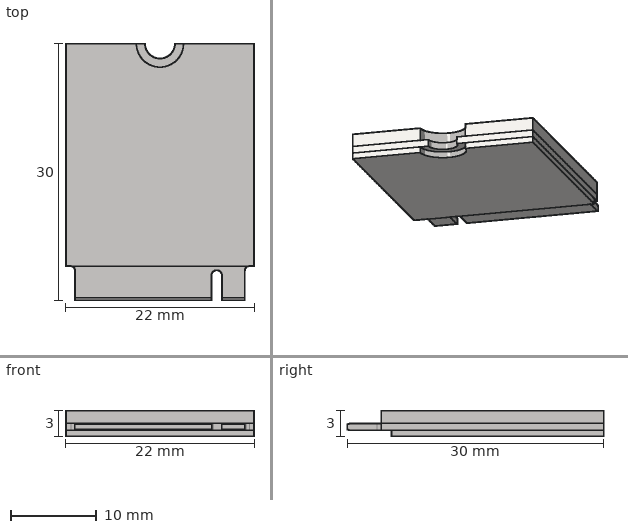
import cadquery as cq

card_width = 22.0
card_length = 30.0

bottom_cover_thickness = 0.7
board_thickness = 0.8
top_cover_thickness = 1.5

tongue_length = 4.0
tongue_width = 19.85
shoulder_fillet = 0.5
edge_bevel_length = 0.3
edge_bevel_height = 0.108

key_slot_width = 1.2
key_slot_depth = 3.5
key_slot_x = 6.63

screw_notch_radius = 1.75
cover_notch_radius = 2.75

bottom_cover_setback = 5.2

front_y = -card_length / 2
back_y = card_length / 2
shoulder_y = front_y + tongue_length
board_bottom_z = bottom_cover_thickness
board_top_z = board_bottom_z + board_thickness


def slab(width, y_start, y_end, z_bottom, thickness):
    """Rectangular plate centred on X."""
    return (
        cq.Workplane("XY", origin=(0, (y_start + y_end) / 2, z_bottom))
        .rect(width, y_end - y_start)
        .extrude(thickness)
    )


def cut_back_notch(plate, radius, z_bottom, thickness):
    """Cut a half-round notch into the back edge of a plate."""
    notch = cq.Workplane("XY", origin=(0, back_y, z_bottom)).circle(radius).extrude(thickness)
    return plate.cut(notch)


def make_cover(y_start, z_bottom, thickness):
    """Flat cover with clearance around the screw notch."""
    plate = slab(card_width, y_start, back_y, z_bottom, thickness)
    return cut_back_notch(plate, cover_notch_radius, z_bottom, thickness)


def make_board_blank():
    """Board with its narrower tongue and filleted inner shoulder corners."""
    main_area = slab(card_width, shoulder_y, back_y, board_bottom_z, board_thickness)
    tongue = slab(tongue_width, front_y, shoulder_y, board_bottom_z, board_thickness)
    blank = main_area.union(tongue)
    inner_corners = cq.selectors.BoxSelector(
        (-tongue_width / 2 - shoulder_fillet / 2, shoulder_y - shoulder_fillet / 2, board_bottom_z),
        (tongue_width / 2 + shoulder_fillet / 2, shoulder_y + shoulder_fillet / 2, board_top_z),
    )
    return blank.edges("|Z").edges(inner_corners).fillet(shoulder_fillet)


def bevel_tongue_edge(board):
    """Bevel the top and bottom edges of the tongue tip."""
    bevel_end_y = front_y + edge_bevel_length
    for face_z, inward in ((board_bottom_z, 1), (board_top_z, -1)):
        wedge = (
            cq.Workplane("YZ")
            .moveTo(front_y, face_z)
            .lineTo(bevel_end_y, face_z)
            .lineTo(front_y, face_z + inward * edge_bevel_height)
            .close()
            .extrude(tongue_width / 2, both=True)
        )
        board = board.cut(wedge)
    return board


def make_key_slot():
    """Open slot with a full-round inner end."""
    half_width = key_slot_width / 2
    slot_end_y = front_y + key_slot_depth
    arc_start_y = slot_end_y - half_width
    return (
        cq.Workplane("XY", origin=(key_slot_x, 0, board_bottom_z))
        .moveTo(-half_width, front_y)
        .lineTo(-half_width, arc_start_y)
        .threePointArc((0, slot_end_y), (half_width, arc_start_y))
        .lineTo(half_width, front_y)
        .close()
        .extrude(board_thickness)
    )


def make_board():
    """Circuit board with edge connector, key slot and screw notch."""
    board = bevel_tongue_edge(make_board_blank())
    board = board.cut(make_key_slot())
    return cut_back_notch(board, screw_notch_radius, board_bottom_z, board_thickness)


board = make_board()
top_cover = make_cover(shoulder_y, board_top_z, top_cover_thickness)
bottom_cover = make_cover(front_y + bottom_cover_setback, 0, bottom_cover_thickness)

bodies = [board, top_cover, bottom_cover]
result = cq.Compound.makeCompound([body.solids().val() for body in bodies])